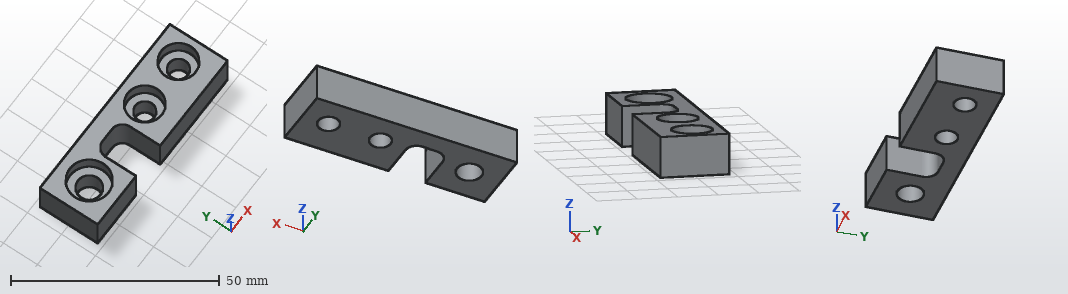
import cadquery as cq

length = 54.0
width = 17.0
height = 10.0

slot_left = 16.0
slot_width = 10.0
slot_depth = 12.0
slot_corner_radius = 3.0

large_hole_inset = 8.5
large_hole_diameter = 6.6
large_bore_diameter = 11.3
large_bore_depth = 3.7

small_hole_x = 33.0
small_hole_spacing = 14.0
small_hole_y = 9.5
small_hole_diameter = 5.5
small_bore_diameter = 10.0
small_bore_depth = 4.0


def make_block():
    return cq.Workplane("XY").box(length, width, height, centered=False)


def make_slot():
    """Full-height slot with rounded inner corners."""
    return (
        cq.Workplane("XY")
        .box(slot_width, slot_depth, height, centered=False)
        .edges("|Z and >Y")
        .fillet(slot_corner_radius)
        .translate((slot_left, 0, 0))
    )


def make_counterbore(x, y, hole_diameter, bore_diameter, bore_depth):
    """Through hole joined to a wider bore sunk from the top face."""
    hole = cq.Workplane("XY").circle(hole_diameter / 2).extrude(height)
    bore = (
        cq.Workplane("XY")
        .workplane(offset=height - bore_depth)
        .circle(bore_diameter / 2)
        .extrude(bore_depth)
    )
    return hole.union(bore).translate((x, y, 0))


result = make_block().cut(make_slot())
result = result.cut(
    make_counterbore(
        large_hole_inset, large_hole_inset, large_hole_diameter, large_bore_diameter, large_bore_depth
    )
)
for x in (small_hole_x, small_hole_x + small_hole_spacing):
    result = result.cut(
        make_counterbore(x, small_hole_y, small_hole_diameter, small_bore_diameter, small_bore_depth)
    )